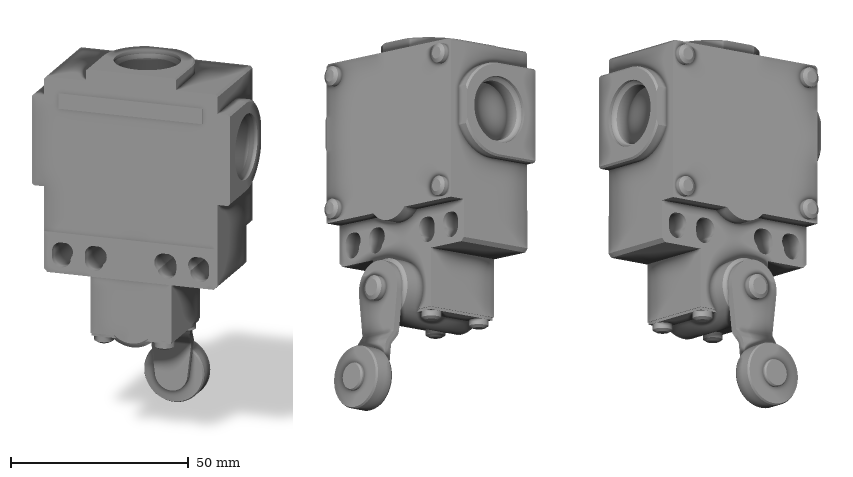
import cadquery as cq
import math


body_width = 51.8
body_top = 104.1
body_back = 29.2
body_front = 0.3
body_bevel = 0.6

flange_top = 58.5
flange_bottom = 46.5
flange_back = 24.3
flange_corner = 1.1
cover_tongue_width = 12.9
cover_tongue_drop = 2.8

hole_radius = 2.8
hole_low_z = 51.2
hole_high_z = 52.9
outer_hole_x = 20.6
outer_widening_x = 19.8
outer_widening_radius = 2.6
inner_hole_x = 10.9
inner_widening_x = 10.0
inner_widening_radius = 2.9

label_width = 43.0
label_height = 4.5
label_bottom = 95.0

entry_radius = 13.4
entry_axis_y = 14.1
entry_back = 26.3
entry_axis_z = 85.0
total_height = 107.5
total_width = 59.0
side_entry_bevel = 0.5
top_entry_bevel = 0.4
bore_mouth_diameter = 19.0
bore_mouth_depth = 1.1
bore_diameter = 17.0
bore_cone_length = 1.1
bore_depth = 6.1

head_width = 24.2
head_bottom = 29.8
head_plate_thickness = 0.8
head_plate_inset = 0.2
pivot_z = 35.5
pivot_diameter = 17.8
pivot_rim_diameter = 18.0
pivot_rim_width = 0.2
pivot_front_diameter = 14.9
pivot_front_length = 1.2
pivot_back_bevel = 1.0

screw_diameter = 5.6
screw_height = 2.3
crown_height = 0.6
crown_inset = 1.1
cover_screw_x = 22.3
cover_screw_heights = (62.0, 100.1)
head_screw_x = 9.0
head_screw_depths = (3.2, 21.3)
pivot_bolt_diameter = 7.0
pivot_bolt_height = 2.6

lever_front = 31.3
lever_thickness = 2.0
lever_offset = 2.6
crank_start_z = 21.7
crank_end_z = 18.6
crank_inner_radius = 1.1
lever_top_diameter = 16.0
lever_tip_diameter = 9.7

roller_diameter = 18.0
roller_width = 6.2
roller_bevel_width = 0.6
roller_bevel_inset = 0.3
rivet_diameter = 8.0
rivet_bevel_width = 0.5
rivet_bevel_inset = 0.3
total_depth = 43.4

NO_BEVEL = (0, 0)

lever_back = lever_front + lever_thickness
roller_z = roller_diameter / 2
roller_front = lever_back + lever_offset
roller_back = roller_front + roller_width


def box(width, y_start, y_end, z_start, z_end):
    """Block centred on X = 0."""
    block = cq.Workplane("XY").box(
        width, y_end - y_start, z_end - z_start, centered=(True, False, False)
    )
    return block.translate((0, y_start, z_start))


def along_y(x, y, z):
    """Workplane at a point whose normal runs toward +Y and whose local axes are X and -Z."""
    return cq.Workplane(cq.Plane((x, y, z), (1, 0, 0), (0, 1, 0)))


def turned_cylinder(diameter, length, start_bevel, end_bevel):
    """Cylinder on +Z from the origin with a bevel at either end."""
    radius = diameter / 2
    points = [(0, 0), (radius - start_bevel[1], 0)]
    if start_bevel != NO_BEVEL:
        points.append((radius, start_bevel[0]))
    points.append((radius, length - end_bevel[0]))
    if end_bevel != NO_BEVEL:
        points.append((radius - end_bevel[1], length))
    points.append((0, length))
    return cq.Workplane("XZ").polyline(points).close().revolve(360, (0, 0, 0), (0, 1, 0))


def point_to_back(solid):
    """Turn a solid built on +Z so that it runs along +Y."""
    return solid.rotate((0, 0, 0), (1, 0, 0), -90)


def screw_head(diameter, height):
    return turned_cylinder(diameter, height, NO_BEVEL, (crown_height, crown_inset))


def make_body():
    main = box(body_width, body_front, body_back, flange_top, body_top)
    main = main.edges("|Y and >Z").chamfer(body_bevel)
    flange = box(body_width, 0, flange_back, flange_bottom, flange_top)
    flange = flange.edges("|Y and <Z").chamfer(flange_corner)
    half_tongue = cover_tongue_width / 2
    tongue = (
        along_y(0, flange_back, flange_top)
        .moveTo(-half_tongue, 0)
        .threePointArc((0, cover_tongue_drop), (half_tongue, 0))
        .close()
        .extrude(body_back - flange_back)
    )
    label = box(label_width, 0, body_front, label_bottom, label_bottom + label_height)
    return main.union(flange).union(tongue).union(label)


def entry_pad(height, bevel):
    """Pad on +Z: round outline cut flat at entry_back, square toward the front, bevelled outer rim."""
    pad = cq.Workplane("XY").center(0, entry_axis_y).circle(entry_radius).extrude(height)
    pad = pad.union(box(2 * entry_radius, body_front - bevel, entry_axis_y, 0, height))
    pad = pad.faces(">Z").chamfer(bevel)
    return pad.intersect(box(2 * entry_radius, body_front, entry_back, 0, height))


def entry_bore(mouth_z):
    """Blind stepped bore going down from mouth_z."""
    mouth = bore_mouth_diameter / 2
    bore = bore_diameter / 2
    cone_end = bore_mouth_depth + bore_cone_length
    points = [(0, 0), (mouth, 0), (mouth, -bore_mouth_depth)]
    points += [(bore, -cone_end), (bore, -bore_depth), (0, -bore_depth)]
    cutter = cq.Workplane("XZ").polyline(points).close().revolve(360, (0, 0, 0), (0, 1, 0))
    return cutter.translate((0, entry_axis_y, mouth_z))


def place_side_entry(solid, side):
    """Turn a solid built on +Z to the left (-1) or right (+1) side of the body."""
    return solid.rotate((0, 0, 0), (0, 1, 0), side * 90).translate((0, 0, entry_axis_z))


def add_entries(part):
    top_pad = entry_pad(total_height - body_top, top_entry_bevel).translate((0, 0, body_top))
    part = part.union(top_pad).cut(entry_bore(total_height))
    side_pad = entry_pad((total_width - body_width) / 2, side_entry_bevel).translate((0, 0, body_width / 2))
    for side in (-1, 1):
        part = part.union(place_side_entry(side_pad, side))
        part = part.cut(place_side_entry(entry_bore(total_width / 2), side))
    return part


def make_head():
    block = box(head_width, body_front, flange_back, head_bottom, flange_bottom)
    plate = box(
        head_width - 2 * head_plate_inset,
        body_front + head_plate_inset,
        flange_back - head_plate_inset,
        head_bottom - head_plate_thickness,
        head_bottom,
    )
    length = lever_front - body_front
    front_rim_length = pivot_front_length + pivot_rim_width
    back_rim_length = pivot_back_bevel + pivot_rim_width
    front_inset = (pivot_rim_diameter - pivot_front_diameter) / 2
    front_bevel = (pivot_front_length, front_inset)
    back_bevel = (pivot_back_bevel, pivot_back_bevel)
    core_length = length - front_rim_length - back_rim_length
    core = turned_cylinder(pivot_diameter, core_length, NO_BEVEL, NO_BEVEL)
    front_rim = turned_cylinder(pivot_rim_diameter, front_rim_length, front_bevel, NO_BEVEL)
    back_rim = turned_cylinder(pivot_rim_diameter, back_rim_length, NO_BEVEL, back_bevel)
    barrel = front_rim.union(core.translate((0, 0, front_rim_length)))
    barrel = barrel.union(back_rim.translate((0, 0, length - back_rim_length)))
    barrel = point_to_back(barrel).translate((0, body_front, pivot_z))
    return block.union(plate).union(barrel)


def mounting_hole(slot_x, widening_x, widening_radius):
    """Through hole: an upright slot widened at its top toward the part centre."""
    slot_length = hole_high_z - hole_low_z + 2 * hole_radius
    slot = along_y(slot_x, 0, (hole_low_z + hole_high_z) / 2)
    slot = slot.slot2D(slot_length, 2 * hole_radius, 90).extrude(flange_back)
    widening_z = hole_high_z + hole_radius - widening_radius
    widening = along_y(widening_x, 0, widening_z).circle(widening_radius).extrude(flange_back)
    return slot.union(widening)


def cut_mounting_holes(part):
    for side in (-1, 1):
        outer = mounting_hole(side * outer_hole_x, side * outer_widening_x, outer_widening_radius)
        inner = mounting_hole(side * inner_hole_x, side * inner_widening_x, inner_widening_radius)
        part = part.cut(outer).cut(inner)
    return part


def make_lever():
    inner = crank_inner_radius
    outer = inner + lever_thickness
    low_front = lever_front + lever_offset
    top_z = pivot_z + lever_top_diameter / 2
    tip_z = roller_z - lever_tip_diameter / 2
    half_angle = math.atan2(lever_offset, crank_start_z - crank_end_z) / 2
    back_shift = lever_thickness * math.tan(half_angle)
    side_profile = [
        (lever_front, top_z),
        (lever_front, crank_start_z),
        (low_front, crank_end_z),
        (low_front, tip_z),
        (low_front + lever_thickness, tip_z),
        (low_front + lever_thickness, crank_end_z + back_shift),
        (lever_back, crank_start_z + back_shift),
        (lever_back, top_z),
    ]
    strip = cq.Workplane("YZ").polyline(side_profile).close().extrude(lever_top_diameter / 2, both=True)

    bends = ((1, outer), (2, inner), (5, outer), (6, inner))
    for corner, radius in bends:
        bend_edge = cq.selectors.NearestToPointSelector((0, *side_profile[corner]))
        strip = strip.edges("|X").edges(bend_edge).fillet(radius)

    top_radius = lever_top_diameter / 2
    tip_radius = lever_tip_diameter / 2
    sine = (top_radius - tip_radius) / (pivot_z - roller_z)
    cosine = math.sqrt(1 - sine**2)
    top_tangent = (top_radius * cosine, pivot_z - top_radius * sine)
    tip_tangent = (tip_radius * cosine, roller_z - tip_radius * sine)
    outline = (
        cq.Workplane("XZ")
        .moveTo(-top_tangent[0], top_tangent[1])
        .threePointArc((0, top_z), top_tangent)
        .lineTo(*tip_tangent)
        .threePointArc((0, tip_z), (-tip_tangent[0], tip_tangent[1]))
        .close()
        .extrude(-total_depth)
    )
    return strip.intersect(outline)


def make_roller():
    bevel = (roller_bevel_width, roller_bevel_inset)
    roller = turned_cylinder(roller_diameter, roller_width, bevel, bevel)
    rivet_bevel = (rivet_bevel_width, rivet_bevel_inset)
    rivet = turned_cylinder(rivet_diameter, total_depth - roller_back, NO_BEVEL, rivet_bevel)
    rivet = rivet.translate((0, 0, roller_width))
    return point_to_back(roller.union(rivet)).translate((0, roller_front, roller_z))


def add_screws(part):
    screw = screw_head(screw_diameter, screw_height)
    cover_screw = point_to_back(screw)
    head_screw = screw.rotate((0, 0, 0), (1, 0, 0), 180)
    plate_bottom = head_bottom - head_plate_thickness
    for side in (-1, 1):
        for z in cover_screw_heights:
            part = part.union(cover_screw.translate((side * cover_screw_x, body_back, z)))
        for y in head_screw_depths:
            part = part.union(head_screw.translate((side * head_screw_x, y, plate_bottom)))
    bolt = point_to_back(screw_head(pivot_bolt_diameter, pivot_bolt_height))
    return part.union(bolt.translate((0, lever_back, pivot_z)))


housing = cut_mounting_holes(add_entries(make_body()).union(make_head()))
result = add_screws(housing.union(make_lever()).union(make_roller()))